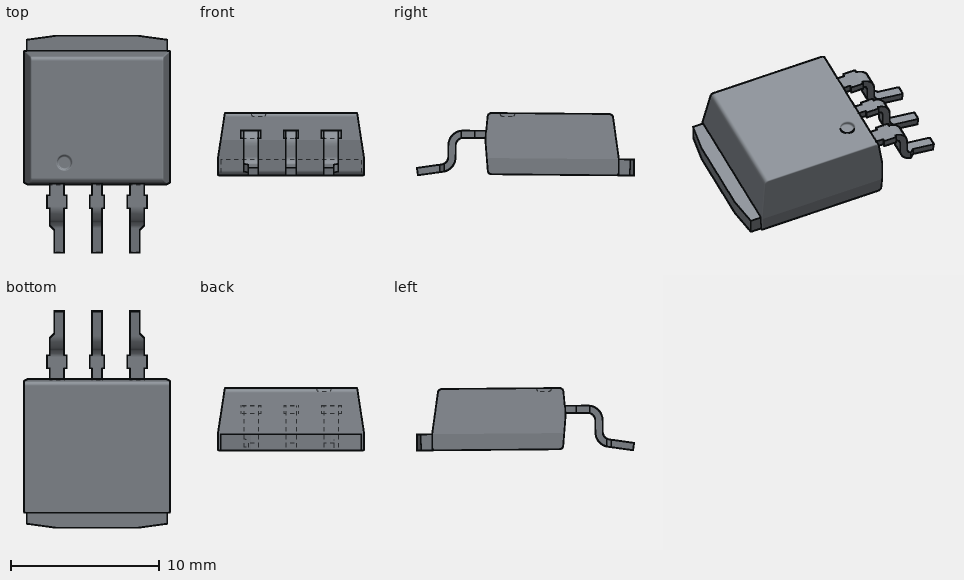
import cadquery as cq
import math

TILT = 0.5

TAB_WIDTH = 9.46
TAB_THICKNESS = 1.1
TAB_LENGTH = 1.02
TAB_END_WIDTH = 5.4
TAB_TAPER = 0.28

HOUSING_WIDTH = 9.83
HOUSING_HEIGHT = 4.13
HOUSING_LENGTH = 9.0
FRONT_RIDGE_HEIGHT = 2.3
SIDE_DRAFT = 8.7
REAR_DRAFT = 8.4
FRONT_DRAFT = 5.0
END_RADIUS = 0.29
SIDE_RADIUS = 0.09

DIMPLE_X = -2.19
DIMPLE_TO_RIDGE = 1.46
DIMPLE_RADIUS = 0.47
DIMPLE_BLEND = 0.1

LEAD_PITCH = 2.54
LEAD_THICKNESS = 0.51
LEAD_TOP = 2.93
INNER_RADIUS = 0.5
OUTER_RADIUS = INNER_RADIUS + LEAD_THICKNESS
LEAD_REACH = 2.48
UPRIGHT_LENGTH = 0.79
FOOT_DROP = 8.5
FOOT_LENGTH = 1.7
FOOT_WIDTH = 0.67
FOOT_TRIM = 0.3
TRIM_START = 2.73
MIDDLE_WING = 0.16
OUTER_WING = 0.19
WING_START = 0.72
WING_LENGTH = 0.89
BLANK_ROOT = 0.29
BLANK_REACH = 5.84

HOUSING_REAR = -TAB_LENGTH
FRONT_RIDGE = HOUSING_REAR - HOUSING_LENGTH
BLANK_REAR = FRONT_RIDGE + BLANK_ROOT


def draft_inset(height, angle):
    """Horizontal shift of a drafted face over a height."""
    return height * math.tan(math.radians(angle))


def make_tab():
    taper_y = -TAB_TAPER
    return (
        cq.Workplane("XY")
        .polyline([
            (-TAB_WIDTH / 2, HOUSING_REAR),
            (TAB_WIDTH / 2, HOUSING_REAR),
            (TAB_WIDTH / 2, taper_y),
            (TAB_END_WIDTH / 2, 0),
            (-TAB_END_WIDTH / 2, 0),
            (-TAB_WIDTH / 2, taper_y),
        ])
        .close()
        .extrude(TAB_THICKNESS)
    )


def make_housing():
    drafted_height = HOUSING_HEIGHT - TAB_THICKNESS

    front_bottom = FRONT_RIDGE + draft_inset(FRONT_RIDGE_HEIGHT, FRONT_DRAFT)
    front_top = FRONT_RIDGE + draft_inset(HOUSING_HEIGHT - FRONT_RIDGE_HEIGHT, FRONT_DRAFT)
    rear_top = HOUSING_REAR - draft_inset(drafted_height, REAR_DRAFT)
    lengthwise = (
        cq.Workplane("YZ")
        .polyline([
            (HOUSING_REAR, 0),
            (HOUSING_REAR, TAB_THICKNESS),
            (rear_top, HOUSING_HEIGHT),
            (front_top, HOUSING_HEIGHT),
            (FRONT_RIDGE, FRONT_RIDGE_HEIGHT),
            (front_bottom, 0),
        ])
        .close()
        .extrude(HOUSING_WIDTH / 2, both=True)
        .edges("|X and (>Z or <Z)")
        .edges("not >Y")
        .fillet(END_RADIUS)
    )

    half_width = HOUSING_WIDTH / 2
    half_top = half_width - draft_inset(drafted_height, SIDE_DRAFT)
    crosswise = (
        cq.Workplane("XZ")
        .polyline([
            (-half_width, 0),
            (half_width, 0),
            (half_width, TAB_THICKNESS),
            (half_top, HOUSING_HEIGHT),
            (-half_top, HOUSING_HEIGHT),
            (-half_width, TAB_THICKNESS),
        ])
        .close()
        .extrude(TAB_LENGTH + HOUSING_LENGTH)
    )
    block = lengthwise.intersect(crosswise)

    return block.edges("not(|X or |Y) or (|Y and (>Z or <Z))").fillet(SIDE_RADIUS)


def make_dimple_cutter():
    floor_radius = DIMPLE_RADIUS - DIMPLE_BLEND
    rim_radius = DIMPLE_RADIUS + DIMPLE_BLEND
    dimple_y = FRONT_RIDGE + DIMPLE_TO_RIDGE
    depth = 2 * DIMPLE_BLEND
    return (
        cq.Workplane("XZ")
        .lineTo(rim_radius, 0)
        .radiusArc((DIMPLE_RADIUS, -DIMPLE_BLEND), -DIMPLE_BLEND)
        .radiusArc((floor_radius, -depth), DIMPLE_BLEND)
        .lineTo(0, -depth)
        .close()
        .revolve(360, (0, 0, 0), (0, 1, 0))
        .translate((DIMPLE_X, dimple_y, HOUSING_HEIGHT))
    )


def make_bent_strip(width):
    """Strip of the lead thickness, bent down to an upright and out to a sloping foot."""
    slope = math.radians(FOOT_DROP)
    run, drop = math.cos(slope), math.sin(slope)
    outer_face = FRONT_RIDGE - LEAD_REACH
    inner_face = outer_face + LEAD_THICKNESS
    bend_start = outer_face + OUTER_RADIUS
    upright_top = LEAD_TOP - OUTER_RADIUS
    upright_bottom = upright_top - UPRIGHT_LENGTH

    bend_y = outer_face - INNER_RADIUS
    foot_top = (bend_y + INNER_RADIUS * drop, upright_bottom - INNER_RADIUS * run)
    foot_bottom = (bend_y + OUTER_RADIUS * drop, upright_bottom - OUTER_RADIUS * run)
    tip_top = (foot_top[0] - FOOT_LENGTH * run, foot_top[1] - FOOT_LENGTH * drop)
    tip_bottom = (foot_bottom[0] - FOOT_LENGTH * run, foot_bottom[1] - FOOT_LENGTH * drop)
    return (
        cq.Workplane("YZ")
        .moveTo(BLANK_REAR, LEAD_TOP)
        .lineTo(bend_start, LEAD_TOP)
        .radiusArc((outer_face, upright_top), -OUTER_RADIUS)
        .lineTo(outer_face, upright_bottom)
        .radiusArc(foot_top, INNER_RADIUS)
        .lineTo(*tip_top)
        .lineTo(*tip_bottom)
        .lineTo(*foot_bottom)
        .radiusArc((inner_face, upright_bottom), -OUTER_RADIUS)
        .lineTo(inner_face, upright_top)
        .radiusArc((bend_start, LEAD_TOP - LEAD_THICKNESS), INNER_RADIUS)
        .lineTo(BLANK_REAR, LEAD_TOP - LEAD_THICKNESS)
        .close()
        .extrude(width / 2, both=True)
    )


def make_block(x_min, x_max, y_min, y_max):
    """Block over a plan rectangle, taller than the leads."""
    return (
        cq.Workplane("XY")
        .moveTo((x_min + x_max) / 2, (y_min + y_max) / 2)
        .rect(x_max - x_min, y_max - y_min)
        .extrude(HOUSING_HEIGHT, both=True)
    )


def make_lead(trim, wing):
    """Lead with its foot centred on X = 0 and any extra strip width on the -X side."""
    right = FOOT_WIDTH / 2
    left = -right - trim
    blank_front = FRONT_RIDGE - BLANK_REACH
    wing_rear = FRONT_RIDGE - WING_START

    plan = make_block(left, right, blank_front, BLANK_REAR)
    plan = plan.union(make_block(left - wing, right + wing, wing_rear - WING_LENGTH, wing_rear))
    if trim:
        trim_y = FRONT_RIDGE - TRIM_START
        trim_cutter = (
            cq.Workplane("XY")
            .polyline([
                (left, trim_y),
                (left + trim, trim_y - trim),
                (left + trim, blank_front),
                (left, blank_front),
            ])
            .close()
            .extrude(HOUSING_HEIGHT, both=True)
        )
        plan = plan.cut(trim_cutter)

    full_width = 2 * (FOOT_WIDTH + trim + wing)
    return make_bent_strip(full_width).intersect(plan)


def tilt(body):
    return body.rotate((0, 0, 0), (1, 0, 0), -TILT)


housing = make_housing()
outer_lead = make_lead(FOOT_TRIM, OUTER_WING)
leads = [
    outer_lead.translate((-LEAD_PITCH, 0, 0)),
    make_lead(0, MIDDLE_WING),
    outer_lead.mirror("YZ").translate((LEAD_PITCH, 0, 0)),
]
leads = [lead.cut(housing) for lead in leads]
housing = housing.cut(make_dimple_cutter())

bodies = [make_tab(), housing, *leads]
result = cq.Compound.makeCompound([tilt(body).val() for body in bodies])